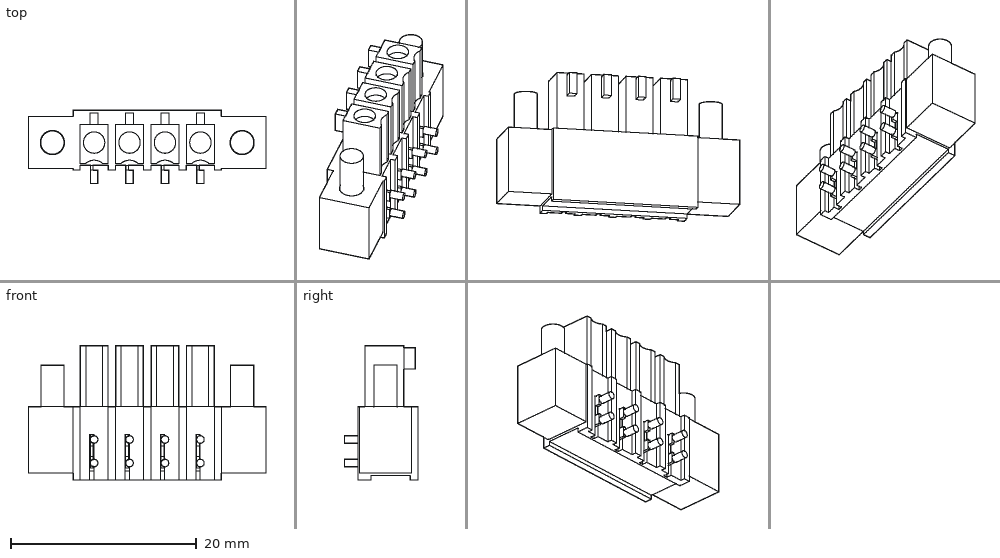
import cadquery as cq


overall_length = 25.63
overall_height = 14.5
pole_count = 4
pole_pitch = 3.82
pole_width = 3.0
end_margin = 0.77
pole_centers = [(i - (pole_count - 1) / 2) * pole_pitch for i in range(pole_count)]

block_length = (pole_count - 1) * pole_pitch + pole_width + 2 * end_margin
block_top = 7.92
block_back = 3.5
block_front = -2.97
recess_depth = 0.5
recess_front = block_front + recess_depth

channel_height = 0.49
channel_front = block_front + 1.4
channel_back = block_back - 0.87

flange_depth = 5.65
flange_bottom = 0.77

stud_offset = 10.23
stud_diameter = 2.5
stud_hole_diameter = 2.61
stud_top = 12.4
stud_seat_depth = 2.56

tower_back = 1.97
tower_front = -2.23
socket_diameter = 2.3
socket_depth = 1.03
scallop_radius = 1.38
scallop_depth = 0.33

key_width = 0.85
key_back = 3.2
key_top = overall_height - 0.23
key_height = 2.3

pin_diameter = 0.82
pin_spacing = 2.55
lower_pin_height = 1.85
pin_length = 1.45
plate_thickness = 0.3
plate_bottom = 1.3
plate_height = 3.6
plate_seat_depth = 1.55
arm_gap = 1.15
plate_left = -pin_diameter / 2
plate_back = recess_front + plate_seat_depth

slot_side_gap = 0.08
slot_width = plate_thickness + 2 * slot_side_gap
slot_left = plate_left - slot_side_gap
slot_top = plate_bottom + plate_height
slot_step_height = 1.0
slot_entry_depth = 0.65


def box_between(x_range, y_range, z_range):
    """Box that spans the given (low, high) ranges."""
    size = [high - low for low, high in (x_range, y_range, z_range)]
    return cq.Workplane("XY").box(*size, centered=False).translate((x_range[0], y_range[0], z_range[0]))


def upright_cylinder(x, diameter, bottom, top):
    """Vertical cylinder with its axis at Y = 0."""
    return cq.Workplane("XY", origin=(x, 0, bottom)).circle(diameter / 2).extrude(top - bottom)


def make_base():
    """Main block with its underside channel, and a flange at each end."""
    half_block = block_length / 2
    block = box_between((-half_block, half_block), (block_front, block_back), (0, block_top))
    channel = box_between((-half_block, half_block), (channel_front, channel_back), (0, channel_height))
    flanges = box_between(
        (-overall_length / 2, overall_length / 2),
        (-flange_depth / 2, flange_depth / 2),
        (flange_bottom, block_top),
    )
    base = block.cut(channel).union(flanges)
    for side in (-1, 1):
        hole_bottom = block_top - stud_seat_depth
        base = base.cut(upright_cylinder(side * stud_offset, stud_hole_diameter, hole_bottom, block_top))
    return base


def make_tower(x):
    """Tower with a round socket on top, a scalloped front and a key on its back."""
    half_width = pole_width / 2
    height_range = (block_top, overall_height)
    tower = box_between((x - half_width, x + half_width), (tower_front, tower_back), height_range)
    scallop_axis = tower_front + scallop_depth - scallop_radius
    scallop = upright_cylinder(x, 2 * scallop_radius, *height_range).translate((0, scallop_axis, 0))
    socket = upright_cylinder(x, socket_diameter, overall_height - socket_depth, overall_height)
    key = box_between(
        (x - key_width / 2, x + key_width / 2),
        (tower_back, key_back),
        (key_top - key_height, key_top),
    )
    return tower.cut(scallop).cut(socket).union(key)


def make_front_recess(x):
    """Full-height recess in the front face below a tower."""
    half_width = pole_width / 2
    return box_between((x - half_width, x + half_width), (block_front, recess_front), (0, block_top))


def make_slot(x):
    """Stepped terminal slot: deep around the plate, shallow and open at the bottom."""
    x_range = (x + slot_left, x + slot_left + slot_width)
    deep_part = box_between(x_range, (recess_front, plate_back), (slot_step_height, slot_top))
    shallow_part = box_between(x_range, (recess_front, recess_front + slot_entry_depth), (0, slot_top))
    return deep_part.union(shallow_part)


def make_housing():
    housing = make_base()
    for x in pole_centers:
        housing = housing.union(make_tower(x)).cut(make_front_recess(x)).cut(make_slot(x))
    return housing


def make_terminal(x):
    """C-shaped plate seated in its slot, with two round pins at the front."""
    x_range = (x + plate_left, x + plate_left + plate_thickness)
    plate = box_between(x_range, (block_front, plate_back), (plate_bottom, plate_bottom + plate_height))
    gap_bottom = plate_bottom + (plate_height - arm_gap) / 2
    gap = box_between(x_range, (block_front, recess_front), (gap_bottom, gap_bottom + arm_gap))
    terminal = plate.cut(gap)
    for z in (lower_pin_height, lower_pin_height + pin_spacing):
        pin = cq.Workplane("XZ", origin=(x, block_front, z)).circle(pin_diameter / 2).extrude(pin_length)
        terminal = terminal.union(pin)
    return terminal


def make_stud(side):
    """Stud standing on the floor of a flange hole."""
    return upright_cylinder(side * stud_offset, stud_diameter, block_top - stud_seat_depth, stud_top)


housing = make_housing()
terminals = [make_terminal(x) for x in pole_centers]
studs = [make_stud(side) for side in (-1, 1)]

result = cq.Compound.makeCompound(
    [
        housing.val(),
        *[terminal.val() for terminal in terminals],
        *[stud.val() for stud in studs],
    ]
)